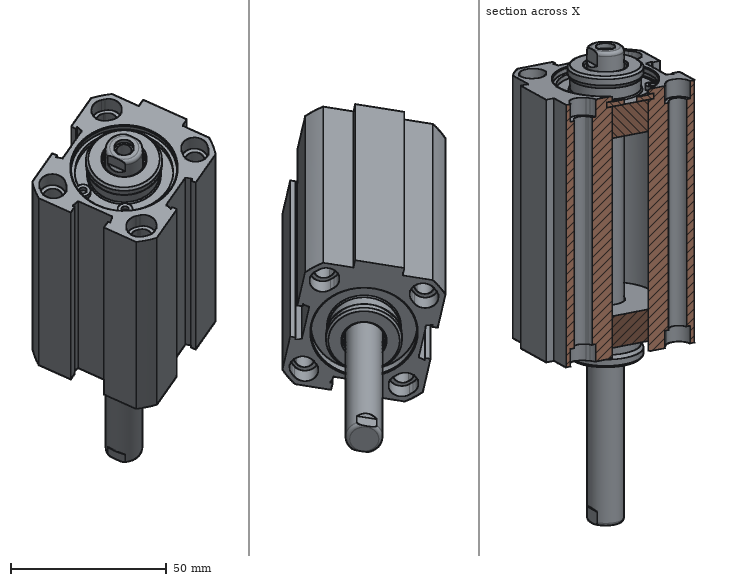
import cadquery as cq
import math


housing_length = 89.5
housing_width = 46.0
housing_depth = 48.1
corner_round_diameter = 60.0
rail_half_width = 8.0
rail_height = 2.9

slot_mouth_half = 6.1
slot_undercut_half = 7.0
slot_floor_half = 6.3
side_slot_lip = 1.8
side_slot_depth = 3.9
front_slot_lip = 2.7
front_slot_depth = 5.2

fixing_x = 16.3
fixing_y = 17.6
fixing_hole_width = 6.3
fixing_hole_stretch = 0.6
counterbore_width = 8.5
counterbore_stretch = 1.3
counterbore_depth = 6.0

bore_diameter = 34.0
bore_mouth_diameter = 34.7
groove_diameter = 35.9
ring_inner_diameter = 31.7
ring_thickness = 1.6
ring_depth = 2.0
ear_diameter = 4.8
ear_hole_diameter = 2.5
ear_x = 7.8
ear_y = -13.1
ring_gap_half = 6.1

collar_diameter = 24.5
neck_diameter = 23.0
neck_height = 0.6
neck_base_chamfer = 0.5
collar_lower_chamfer_height = 1.3
collar_top_height = 4.8
cover_length = 14.5
cover_bore_diameter = 12.6
wiper_recess_diameter = 13.7
wiper_recess_depth = 2.5
cover_mouth_diameter = 14.7
cover_recess = ring_depth + ring_thickness

rod_diameter = 12.0
rod_length = 161.5
rod_lower_reach = 61.0
rod_end_radius = 1.3
flats_width = 10.0
flats_length = 4.8
end_hole_diameter = 4.8
end_hole_depth = 13.0
end_counterbore_diameter = 6.3
end_counterbore_depth = 1.6
drill_tip_angle = 160.0


def slot_cutter(lip, slot_depth):
    """Undercut slot prism that opens towards -Y with its mouth on the XZ plane."""
    right_side = [
        (slot_mouth_half, 0),
        (slot_mouth_half, lip),
        (slot_undercut_half, lip),
        (slot_floor_half, slot_depth),
    ]
    left_side = [(-x, y) for x, y in reversed(right_side)]
    return cq.Workplane("XY").polyline(right_side + left_side).close().extrude(housing_length)


def oblong(width, stretch, x_sign, y_sign):
    """Oblong at one corner, stretched across the diagonal that runs out to the corner."""
    angle = -45 * x_sign * y_sign
    return (
        cq.Workplane("XY")
        .center(x_sign * fixing_x, y_sign * fixing_y)
        .transformed(rotate=(0, 0, angle))
        .slot2D(width + stretch, width)
    )


def make_bore_cutter():
    """Through bore that flares at 45 degrees at both ends."""
    bore_radius = bore_diameter / 2
    mouth_radius = bore_mouth_diameter / 2
    flare = mouth_radius - bore_radius
    profile = [
        (0, 0),
        (mouth_radius, 0),
        (bore_radius, flare),
        (bore_radius, housing_length - flare),
        (mouth_radius, housing_length),
        (0, housing_length),
    ]
    return cq.Workplane("XZ").polyline(profile).close().revolve(360, (0, 0), (0, 1))


def make_housing():
    body = cq.Workplane("XY").rect(housing_width, housing_depth).extrude(housing_length)
    body = body.intersect(cq.Workplane("XY").circle(corner_round_diameter / 2).extrude(housing_length))
    rail = (
        cq.Workplane("XY")
        .center(0, housing_depth / 2)
        .rect(2 * rail_half_width, 2 * rail_height)
        .extrude(housing_length)
    )
    body = body.union(rail)

    body = body.cut(slot_cutter(front_slot_lip, front_slot_depth).translate((0, -housing_depth / 2, 0)))
    for side in (-1, 1):
        cutter = slot_cutter(side_slot_lip, side_slot_depth).rotate((0, 0, 0), (0, 0, 1), side * 90)
        body = body.cut(cutter.translate((side * housing_width / 2, 0, 0)))

    for x_sign in (-1, 1):
        for y_sign in (-1, 1):
            through_outline = oblong(fixing_hole_width, fixing_hole_stretch, x_sign, y_sign)
            counterbore_outline = oblong(counterbore_width, counterbore_stretch, x_sign, y_sign)
            through = through_outline.extrude(housing_length)
            counterbore = counterbore_outline.extrude(counterbore_depth)
            top_counterbore = counterbore.translate((0, 0, housing_length - counterbore_depth))
            body = body.cut(through).cut(counterbore).cut(top_counterbore)

    body = body.cut(make_bore_cutter())
    groove = (
        cq.Workplane("XY", origin=(0, 0, housing_length - cover_recess))
        .circle(groove_diameter / 2)
        .extrude(ring_thickness)
    )
    return body.cut(groove)


def make_cover(at_top):
    """Plug in the bore, neck and chamfered collar around a stepped rod bore; the lower one is mirrored."""
    plug_top = housing_length - cover_recess
    plug_bottom = housing_length - cover_length
    neck_top = housing_length + neck_height
    collar_top = housing_length + collar_top_height
    neck_radius = neck_diameter / 2
    collar_radius = collar_diameter / 2
    collar_top_chamfer = collar_radius - neck_radius
    wiper_radius = wiper_recess_diameter / 2
    mouth_radius = cover_mouth_diameter / 2
    recess_floor = collar_top - wiper_recess_depth
    profile = [
        (cover_bore_diameter / 2, plug_bottom),
        (bore_diameter / 2, plug_bottom),
        (bore_diameter / 2, plug_top),
        (neck_radius + neck_base_chamfer, plug_top),
        (neck_radius, plug_top + neck_base_chamfer),
        (neck_radius, neck_top),
        (collar_radius, neck_top + collar_lower_chamfer_height),
        (collar_radius, collar_top - collar_top_chamfer),
        (neck_radius, collar_top),
        (mouth_radius, collar_top),
        (wiper_radius, collar_top - (mouth_radius - wiper_radius)),
        (wiper_radius, recess_floor),
        (cover_bore_diameter / 2, recess_floor),
    ]
    cover = cq.Workplane("XZ").polyline(profile).close().revolve(360, (0, 0), (0, 1))
    if at_top:
        return cover
    return cover.mirror("XY", (0, 0, housing_length / 2))


def make_snap_ring():
    base = cq.Workplane("XY", origin=(0, 0, housing_length - cover_recess))
    ears = [(-ear_x, ear_y), (ear_x, ear_y)]
    ring = base.circle(groove_diameter / 2).circle(ring_inner_diameter / 2).extrude(ring_thickness)
    ear_pads = base.pushPoints(ears).circle(ear_diameter / 2).extrude(ring_thickness)
    gap = base.center(0, -groove_diameter / 2).rect(2 * ring_gap_half, groove_diameter / 2)
    ring = ring.cut(gap.extrude(ring_thickness)).union(ear_pads)
    ring = ring.intersect(base.circle(groove_diameter / 2).extrude(ring_thickness))
    return ring.cut(base.pushPoints(ears).circle(ear_hole_diameter / 2).extrude(ring_thickness))


def flat_cutter(rod_end_z, direction, side):
    """Wedge that mills one wrench flat; the run-out rises at 45 degrees to the rod surface."""
    runout = rod_diameter - flats_width
    inner = side * flats_width / 2
    outer = inner + side * runout
    profile = [
        (inner, rod_end_z),
        (outer, rod_end_z),
        (outer, rod_end_z + direction * (flats_length + runout)),
        (inner, rod_end_z + direction * flats_length),
    ]
    return cq.Workplane("YZ").polyline(profile).close().extrude(rod_diameter / 2, both=True)


def make_rod():
    rod_bottom = -rod_lower_reach
    rod_top = rod_bottom + rod_length
    rod = cq.Workplane("XY", origin=(0, 0, rod_bottom)).circle(rod_diameter / 2).extrude(rod_length)
    rod = rod.faces("<Z or >Z").edges().fillet(rod_end_radius)
    for side in (-1, 1):
        rod = rod.cut(flat_cutter(rod_top, -1, side))
        rod = rod.cut(flat_cutter(rod_bottom, 1, side))

    hole_radius = end_hole_diameter / 2
    counterbore_radius = end_counterbore_diameter / 2
    tip_length = hole_radius / math.tan(math.radians(drill_tip_angle / 2))
    hole_profile = [
        (0, rod_top),
        (counterbore_radius, rod_top),
        (counterbore_radius, rod_top - end_counterbore_depth),
        (hole_radius, rod_top - end_counterbore_depth),
        (hole_radius, rod_top - end_hole_depth),
        (0, rod_top - end_hole_depth - tip_length),
    ]
    end_hole = cq.Workplane("XZ").polyline(hole_profile).close().revolve(360, (0, 0), (0, 1))
    return rod.cut(end_hole)


housing = make_housing()
covers = [make_cover(at_top).val() for at_top in (True, False)]
snap_ring = make_snap_ring()
rod = make_rod()

result = cq.Compound.makeCompound(
    [housing.val(), *covers, snap_ring.val(), rod.val()]
)